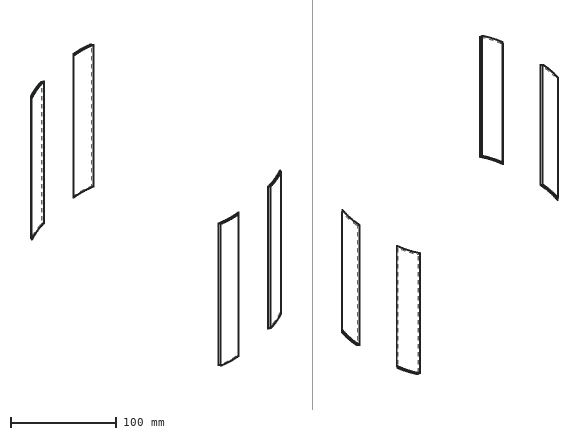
import cadquery as cq
import math

overall_x = 250.2
overall_y = 88.7
strip_length = 208.2

outer_radius = 80.5
thickness = 1.85
inner_chord = 23.85
bevel = 1.5
lean_angle = 12.65

inner_radius = outer_radius - thickness
half_chord = inner_chord / 2


def strip_section():
    """Section centred on the bend axis, with the middle of the band facing +X."""
    edge_x = math.sqrt(inner_radius**2 - half_chord**2)
    wall_y = half_chord - bevel
    wall_top_x = math.sqrt(outer_radius**2 - wall_y**2)
    return (
        cq.Workplane("XY")
        .moveTo(wall_top_x, -wall_y)
        .threePointArc((outer_radius, 0), (wall_top_x, wall_y))
        .lineTo(edge_x + bevel, wall_y)
        .lineTo(edge_x, half_chord)
        .threePointArc((inner_radius, 0), (edge_x, -half_chord))
        .lineTo(edge_x + bevel, -wall_y)
        .close()
    )


def corner_strip():
    """The strip at the +X +Y corner, leaned and moved out to the overall size."""
    leaned = strip_section().extrude(strip_length).rotate((0, 0, 0), (0, 0, 1), lean_angle)
    box = leaned.val().BoundingBox()
    return leaned.translate((overall_x / 2 - box.xmax, overall_y / 2 - box.ymax, 0))


right_back_strip = corner_strip()
strips = []
for strip in (right_back_strip, right_back_strip.mirror("YZ")):
    strips.append(strip.val())
    strips.append(strip.mirror("XZ").val())

result = cq.Compound.makeCompound(strips)